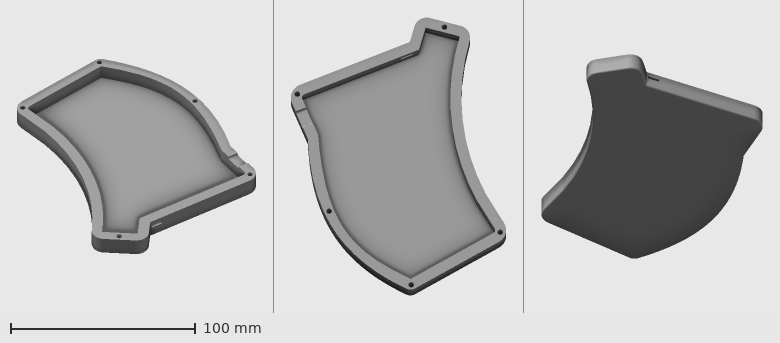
import cadquery as cq
import math

height = 10.0
floor = 2.0
bottom_edge_radius = 1.0

wall = 6.0
corner_radius = 8.0
tip_radius = 5.0
thumb_radius = 7.0
inner_radius = corner_radius - wall

lean = 8
thumb_turn = 38


def direction(degrees):
    """Unit vector at an angle from the X axis."""
    return cq.Vector(math.cos(math.radians(degrees)), math.sin(math.radians(degrees)))


lean_right = direction(lean)
lean_up = direction(lean + 90)
thumb_out = direction(-thumb_turn)
thumb_up = direction(90 - thumb_turn)

right_x = 132.4
back_y = 104.0
back_straight_start = 102.1
left_length = 63.3
front_straight = 27.5
left_front = cq.Vector(8.7, 23.5)
left_back = left_front + lean_up * left_length
front_arc_start = left_front + lean_right * front_straight
back_right = cq.Vector(right_x, back_y)
back_curve_end = cq.Vector(back_straight_start, back_y)

cavity_left_front = left_front + (lean_right + lean_up) * wall
cavity_left_back = cq.Vector(6.3, 83.5)
cavity_arc_start = front_arc_start + lean_up * wall
cavity_back_right = back_right - cq.Vector(wall, wall)
cavity_curve_end = back_curve_end - cq.Vector(0, wall)

thumb_width = 19.2
cavity_thumb_back = cq.Vector(136.8, 20.6)
cavity_thumb_front = cavity_thumb_back - thumb_up * thumb_width
thumb_back = cavity_thumb_back + (thumb_out + thumb_up) * wall
thumb_front = cavity_thumb_front + (thumb_out - thumb_up) * wall

front_arc_middle = cq.Vector(81.0, 22.2)
front_arc_normal = 72.5
cavity_arc_middle = front_arc_middle + direction(front_arc_normal) * wall

outer_back_controls = [cq.Vector(57.0, 120.4), cq.Vector(27.5, 110.6)]
cavity_back_controls = [cq.Vector(53.2, 114.3), cq.Vector(32.5, 106.8)]

hole_diameter = 3.0
hole_centres = [(3.0, 84.6), (59.1, 109.3), (128.0, 99.4), (133.1, 11.1), (12.5, 28.6)]

notch_centre_x = 114.0
notch_width = 10.2
notch_depth = 1.4

slot_centre_y = 36.0
slot_length = 7.0
slot_bottom_z = 5.7
slot_height = 1.5


def bend_on_thumb_line(x, thumb_corner):
    """Point at the given x on the back side of the thumb arm, where it meets the right wall."""
    reach = (thumb_corner.x - x) / thumb_out.x
    return thumb_corner - thumb_out * reach


def outline(start, arc_start, arc_middle, arc_end, back_corners, curve_controls, curve_end):
    """Closed outline: front line and arc, straight thumb and right sides, then the back curve."""
    curve = [back_corners[-1], *curve_controls, curve_end]
    sketch = cq.Workplane("XY").moveTo(start.x, start.y)
    sketch = sketch.lineTo(arc_start.x, arc_start.y)
    sketch = sketch.threePointArc((arc_middle.x, arc_middle.y), (arc_end.x, arc_end.y))
    for corner in back_corners:
        sketch = sketch.lineTo(corner.x, corner.y)
    sketch = sketch.bezier([(point.x, point.y) for point in curve])
    return sketch.close()


def round_corner(solid, corner, radius):
    """Round the upright edge that stands at the given corner."""
    nearest = cq.selectors.NearestToPointSelector((corner.x, corner.y, height / 2))
    return solid.edges("|Z").edges(nearest).fillet(radius)


def make_body():
    """Solid block with rounded upright corners and a rounded bottom edge."""
    bend = bend_on_thumb_line(right_x, thumb_back)
    body = outline(
        left_front,
        front_arc_start,
        front_arc_middle,
        thumb_front,
        [thumb_back, bend, back_right, back_curve_end],
        outer_back_controls,
        left_back,
    ).extrude(height)
    rounded_corners = [
        (left_front, corner_radius),
        (back_right, corner_radius),
        (left_back, tip_radius),
        (thumb_front, thumb_radius),
        (thumb_back, thumb_radius),
    ]
    for corner, radius in rounded_corners:
        body = round_corner(body, corner, radius)
    return body.faces("<Z").edges().fillet(bottom_edge_radius)


def make_cavity():
    """Space inside the wall, open at the top."""
    bend = bend_on_thumb_line(right_x - wall, cavity_thumb_back)
    cavity = outline(
        cavity_left_front,
        cavity_arc_start,
        cavity_arc_middle,
        cavity_thumb_front,
        [cavity_thumb_back, bend, cavity_back_right, cavity_curve_end],
        cavity_back_controls,
        cavity_left_back,
    ).extrude(height)
    for corner in (cavity_left_front, cavity_back_right, bend):
        cavity = round_corner(cavity, corner, inner_radius)
    return cavity.translate((0, 0, floor))


def make_holes():
    """Pins standing on the floor level, to cut the screw holes."""
    pins = cq.Workplane("XY").pushPoints(hole_centres).circle(hole_diameter / 2)
    return pins.extrude(height).translate((0, 0, floor))


def make_notch():
    """Round-bottomed bar lying across the back wall, half of it below the rim."""
    bar = cq.Workplane("XY").box(notch_width, wall, 2 * notch_depth)
    bar = bar.edges("|Y and <Z").fillet(notch_depth)
    return bar.translate((notch_centre_x, back_y - wall / 2, height))


def make_slot():
    """Flat bar passing through the right wall."""
    bar = cq.Workplane("XY").box(wall, slot_length, slot_height)
    slot_centre_z = slot_bottom_z + slot_height / 2
    return bar.translate((right_x - wall / 2, slot_centre_y, slot_centre_z))


result = make_body()
for cutter in (make_cavity(), make_holes(), make_notch(), make_slot()):
    result = result.cut(cutter)